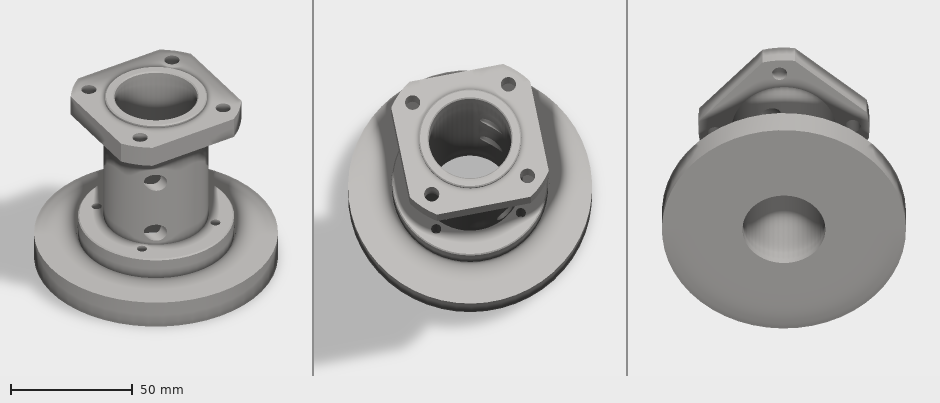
import cadquery as cq

base_thickness = 12.0
boss_height = 9.0
tube_length = 49.0
flange_thickness = 9.0
lip_height = 1.5
boss_top = base_thickness + boss_height
flange_bottom = boss_top + tube_length
flange_top = flange_bottom + flange_thickness
total_height = flange_top + lip_height

base_diameter = 100.0
boss_diameter = 64.0
tube_diameter = 43.0
lip_diameter = 42.0
bore_diameter = 34.0
edge_chamfer = 0.5

groove_diameter = 65.0
groove_depth = 0.5

flange_width = 58.0
flange_corner_diameter = 70.0
flange_hole_diameter = 6.2
flange_hole_spacing = 40.0

boss_hole_diameter = 4.1
boss_hole_circle = 50.0
boss_hole_depth = 12.0

cross_hole_diameter = 8.0
cross_hole_y = -11.2
cross_hole_first_z = boss_top + 6.0
cross_hole_pitch = 25.0


def disc(diameter, bottom, height):
    """Upright cylinder on the central axis."""
    return cq.Workplane("XY").workplane(offset=bottom).circle(diameter / 2).extrude(height)


def turned_body():
    """Base, chamfered boss, tube and chamfered lip, all coaxial."""
    boss = disc(boss_diameter, base_thickness, boss_height).faces(">Z").chamfer(edge_chamfer)
    lip = disc(lip_diameter, flange_top, lip_height).faces(">Z").chamfer(edge_chamfer)
    body = disc(base_diameter, 0, base_thickness).union(boss)
    return body.union(disc(tube_diameter, boss_top, tube_length)).union(lip)


def relief_groove():
    """Ring sunk into the base between the boss and the groove's outer wall."""
    groove_bottom = base_thickness - groove_depth
    core = disc(boss_diameter, groove_bottom, groove_depth)
    return disc(groove_diameter, groove_bottom, groove_depth).cut(core)


def bore():
    """Through bore with a chamfered mouth at the lip."""
    bore_radius = bore_diameter / 2
    profile = (
        cq.Workplane("XZ")
        .lineTo(bore_radius, 0)
        .lineTo(bore_radius, total_height - edge_chamfer)
        .lineTo(bore_radius + edge_chamfer, total_height)
        .lineTo(0, total_height)
        .close()
    )
    return profile.revolve(360, (0, 0), (0, 1))


def flange():
    """Square plate with rounded-off corners and four through holes."""
    square = cq.Workplane("XY").workplane(offset=flange_bottom).rect(flange_width, flange_width)
    plate = square.extrude(flange_thickness)
    plate = plate.intersect(disc(flange_corner_diameter, flange_bottom, flange_thickness))
    hole_pattern = plate.faces(">Z").workplane().rect(
        flange_hole_spacing, flange_hole_spacing, forConstruction=True
    )
    return hole_pattern.vertices().hole(flange_hole_diameter)


def boss_holes():
    """Four blind holes on the diagonals of the boss."""
    top = cq.Workplane("XY").workplane(offset=boss_top)
    centres = top.polarArray(boss_hole_circle / 2, 45, 360, 4)
    return centres.circle(boss_hole_diameter / 2).extrude(-boss_hole_depth)


def cross_holes():
    """Two stacked holes passing through both tube walls."""
    centres = [(cross_hole_y, cross_hole_first_z + i * cross_hole_pitch) for i in range(2)]
    side = cq.Workplane("YZ").pushPoints(centres)
    return side.circle(cross_hole_diameter / 2).extrude(tube_diameter / 2, both=True)


result = (
    turned_body()
    .union(flange())
    .cut(relief_groove())
    .cut(bore())
    .cut(boss_holes())
    .cut(cross_holes())
)